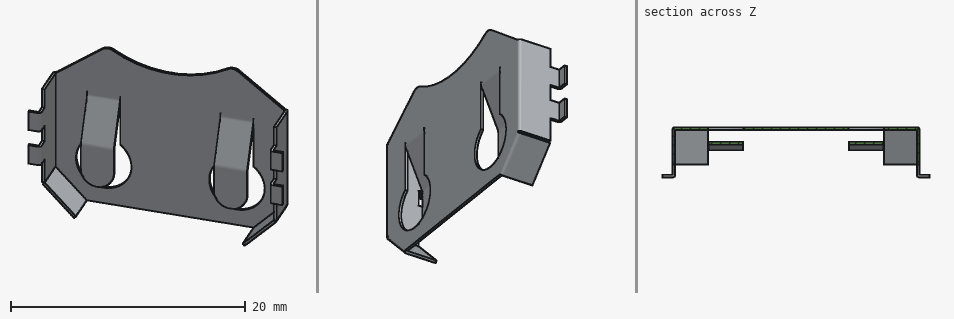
import cadquery as cq
import math


sheet = 0.254
overall_width = 22.86
overall_depth = 4.32

flat_half_width = 10.32
bottom_half_width = 7.50
plate_height = 15.24
shoulder_radius = 0.90
notch_bottom = 13.75
notch_radius = 10.40

wall_depth = 3.20
wall_top = 11.98
corner_rise = flat_half_width - bottom_half_width
corner_relief = 0.02

lug_width = 1.80
lug_bottoms = (5.09, 8.39)
lug_reach = overall_width / 2 - flat_half_width

spring_x = 6.00
spring_width = 2.96
spring_slit = 0.02
hole_z = 4.00
hole_radius = 2.50
slit_top = 10.67
spring_root = 10.52
spring_angle = math.radians(23.7)
spring_rise = 1.73
inner_bend = 0.62
outer_bend = inner_bend + sheet


def make_plate():
    """Flat plate with sloped shoulders and a concave top edge."""
    shoulder_z = plate_height - shoulder_radius
    notch_z = notch_bottom + notch_radius
    shoulder_x = math.sqrt((notch_radius + shoulder_radius) ** 2 - (notch_z - shoulder_z) ** 2)
    blend = notch_radius / (notch_radius + shoulder_radius)
    notch_end = (shoulder_x * blend, notch_z + (shoulder_z - notch_z) * blend)

    run = flat_half_width - shoulder_x
    rise = shoulder_z - wall_top
    slope = math.atan2(rise, run) + math.asin(shoulder_radius / math.hypot(run, rise))
    slope_end = (
        shoulder_x + shoulder_radius * math.sin(slope),
        shoulder_z + shoulder_radius * math.cos(slope),
    )
    shoulder_top = (shoulder_x, plate_height)

    def left(point):
        return (-point[0], point[1])

    return (
        cq.Workplane("XZ")
        .moveTo(bottom_half_width, 0)
        .lineTo(flat_half_width, corner_rise)
        .lineTo(flat_half_width, wall_top)
        .lineTo(*slope_end)
        .threePointArc(shoulder_top, notch_end)
        .threePointArc((0, notch_bottom), left(notch_end))
        .threePointArc(left(shoulder_top), left(slope_end))
        .lineTo(-flat_half_width, wall_top)
        .lineTo(-flat_half_width, corner_rise)
        .lineTo(-bottom_half_width, 0)
        .close()
        .extrude(sheet)
    )


def bend_middle(center_x, center_y, side_x, side_y):
    """Middle point of a quarter bend of radius equal to the sheet thickness."""
    offset = sheet * math.sqrt(0.5)
    return (center_x + side_x * offset, center_y + side_y * offset)


def make_flange(plane, length):
    """Flange bent forward off a plate edge; local x points away from the plate."""
    return (
        cq.Workplane(plane)
        .moveTo(0, 0)
        .threePointArc(bend_middle(0, -sheet, 1, 1), (sheet, -sheet))
        .lineTo(sheet, -wall_depth)
        .lineTo(0, -wall_depth)
        .close()
        .extrude(length)
    )


def make_lug(bottom):
    """Solder lug that continues the right wall forward and turns outward."""
    lug_back = -overall_depth + sheet
    return (
        cq.Workplane("XY", origin=(flat_half_width, 0, bottom))
        .moveTo(0, -wall_depth)
        .lineTo(0, lug_back)
        .threePointArc(bend_middle(sheet, lug_back, -1, -1), (sheet, -overall_depth))
        .lineTo(lug_reach, -overall_depth)
        .lineTo(lug_reach, lug_back)
        .lineTo(sheet, lug_back)
        .lineTo(sheet, -wall_depth)
        .close()
        .extrude(lug_width)
    )


def make_right_side():
    """Side wall, corner flange and lugs on the +X side."""
    wall_bottom = corner_rise + corner_relief
    wall_plane = cq.Plane(origin=(flat_half_width, 0, wall_bottom), xDir=(1, 0, 0), normal=(0, 0, 1))
    corner_plane = cq.Plane(origin=(bottom_half_width, 0, 0), xDir=(1, 0, -1), normal=(1, 0, 1))
    side = make_flange(wall_plane, wall_top - wall_bottom)
    side = side.union(make_flange(corner_plane, corner_rise * math.sqrt(2)))
    for bottom in lug_bottoms:
        side = side.union(make_lug(bottom))
    return side


def make_opening():
    """Round hole and the slot above it from which one spring is bent."""
    slot_width = spring_width + 2 * spring_slit
    hole = cq.Workplane("XZ", origin=(spring_x, 0, hole_z)).circle(hole_radius).extrude(sheet)
    slot = (
        cq.Workplane("XZ", origin=(spring_x, 0, hole_z))
        .rect(slot_width, slit_top - hole_z, centered=(True, False))
        .extrude(sheet)
    )
    return hole.union(slot)


def make_spring():
    """Spring bent forward from its root and back parallel to the plate, with a round tip."""
    sine = math.sin(spring_angle)
    cosine = math.cos(spring_angle)
    straight = (spring_rise - (inner_bend + outer_bend) * (1 - cosine)) / sine
    tip_top = spring_root - (inner_bend + outer_bend) * sine - straight * cosine
    tip_radius = spring_width / 2
    tip_bottom = hole_z - tip_radius

    upper_y = -sheet - inner_bend
    lower_y = -spring_rise - sheet + outer_bend

    def upper(radius, angle):
        return (upper_y + radius * math.cos(angle), spring_root - radius * math.sin(angle))

    def lower(radius, angle):
        return (lower_y - radius * math.cos(angle), tip_top + radius * math.sin(angle))

    half = spring_angle / 2
    strip = (
        cq.Workplane("YZ", origin=(spring_x, 0, 0))
        .moveTo(0, slit_top)
        .lineTo(0, spring_root)
        .threePointArc(upper(outer_bend, half), upper(outer_bend, spring_angle))
        .lineTo(*lower(inner_bend, spring_angle))
        .threePointArc(lower(inner_bend, half), lower(inner_bend, 0))
        .lineTo(-spring_rise, tip_bottom)
        .lineTo(-spring_rise - sheet, tip_bottom)
        .lineTo(-spring_rise - sheet, tip_top)
        .threePointArc(lower(outer_bend, half), lower(outer_bend, spring_angle))
        .lineTo(*upper(inner_bend, spring_angle))
        .threePointArc(upper(inner_bend, half), upper(inner_bend, 0))
        .lineTo(-sheet, slit_top)
        .close()
        .extrude(tip_radius, both=True)
    )
    outline = (
        cq.Workplane("XZ", origin=(spring_x, 0, 0))
        .moveTo(-tip_radius, slit_top)
        .lineTo(-tip_radius, hole_z)
        .threePointArc((0, tip_bottom), (tip_radius, hole_z))
        .lineTo(tip_radius, slit_top)
        .close()
        .extrude(overall_depth)
    )
    return strip.intersect(outline)


right_side = make_right_side()
opening = make_opening()
spring = make_spring()

result = make_plate()
result = result.cut(opening).cut(opening.mirror("YZ"))
for feature in (right_side, spring):
    result = result.union(feature).union(feature.mirror("YZ"))